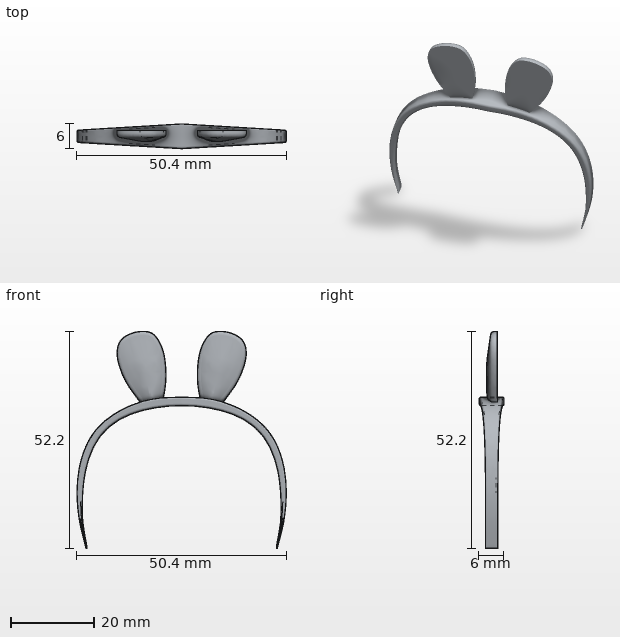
import cadquery as cq
import math

CROWN_HEIGHT = 36.4
CROWN_THICKNESS = 2.1
HALF_SPAN = 50.4 / 2
WIDEST_HEIGHT = 13.2
CROWN_WIDTH = 6.0
SIDE_WIDTH = 3.05
EDGE_ROUND = 0.495
STATIONS = 12

outer_points = [
    (0, CROWN_HEIGHT), (10.1, 35.15), (16.65, 32.0), (20.45, 28.65), (23.35, 23.85),
    (24.7, 19.05), (HALF_SPAN, WIDEST_HEIGHT), (24.6, 6.5), (23.0, 0),
]
inner_points = [
    (0, CROWN_HEIGHT - CROWN_THICKNESS), (7.55, 33.55), (14.2, 31.4), (18.6, 28.15), (21.35, 24),
    (23.0, 19.05), (23.8, 13.2), (23.8, 6.5), (22.75, 0),
]

EAR_BACK = 1.35
EAR_RIM_DEPTH = 1.65
EAR_DOME = 0.95
EAR_ROUND = 0.95
ear_outline = [
    (8.45, 33.15), (10.1, 35.3), (12.85, 39.1), (15.1, 44.1), (15.55, 47.05), (14.7, 49.9),
    (12.65, 51.5), (9.45, 52.2), (7.15, 51.75), (5.75, 50.3), (4.45, 47.4), (3.85, 44.1),
    (3.85, 39.4), (4.35, 36.5), (5.1, 33.15),
]
dome_ridge = [(7.2, 36, 0.7), (8.1, 39.15, 0.95), (9.0, 42.3, 1), (9.9, 45.95, 0.8)]


def crown_spline(points):
    """Band curve in the XZ plane, level at the crown."""
    path = [cq.Vector(x, 0, z) for x, z in points]
    lean = path[-1] - path[-2]
    return cq.Edge.makeSpline(path, tangents=[cq.Vector(1, 0, 0), lean.normalized()])


outer_curve = crown_spline(outer_points)
inner_curve = crown_spline(inner_points)


def band_section(fraction):
    """Rounded rectangle across the band at a fraction of its length."""
    outer = outer_curve.positionAt(fraction)
    inner = inner_curve.positionAt(fraction)
    across = inner - outer
    thickness = across.Length
    inward = across.normalized()
    taper = outer.x / HALF_SPAN if outer.z > WIDEST_HEIGHT else 1
    half_width = (CROWN_WIDTH - (CROWN_WIDTH - SIDE_WIDTH) * taper) / 2
    rounding = min(EDGE_ROUND, thickness / 3)
    flat = half_width - EDGE_ROUND
    bulge = math.sqrt(0.5)

    def at(y, depth):
        return outer + inward * depth + cq.Vector(0, y, 0)

    def corner(side, near, middle, far):
        y_middle = side * (flat + EDGE_ROUND * bulge)
        return cq.Edge.makeThreePointArc(near, at(y_middle, middle), far)

    shallow = rounding * (1 - bulge)
    corners = [at(-flat, 0), at(flat, 0), at(half_width, rounding), at(half_width, thickness - rounding),
               at(flat, thickness), at(-flat, thickness), at(-half_width, thickness - rounding),
               at(-half_width, rounding)]
    edges = [
        cq.Edge.makeLine(corners[0], corners[1]),
        corner(1, corners[1], shallow, corners[2]),
        cq.Edge.makeLine(corners[2], corners[3]),
        corner(1, corners[3], thickness - shallow, corners[4]),
        cq.Edge.makeLine(corners[4], corners[5]),
        corner(-1, corners[5], thickness - shallow, corners[6]),
        cq.Edge.makeLine(corners[6], corners[7]),
        corner(-1, corners[7], shallow, corners[0]),
    ]
    return cq.Wire.assembleEdges(edges)


def half_band():
    sections = [band_section(i / STATIONS) for i in range(STATIONS + 1)]
    return cq.Workplane(cq.Solid.makeLoft(sections))


def ear():
    """Flat-backed ear with a rounded rim and a domed front."""
    body = (
        cq.Workplane("XZ", origin=(0, EAR_BACK, 0))
        .moveTo(*ear_outline[0])
        .spline(ear_outline[1:], includeCurrent=True)
        .close()
        .extrude(EAR_RIM_DEPTH)
    )
    body = body.faces("<Y").edges("not #Z").fillet(EAR_ROUND)
    front = body.faces("<Y").val()
    front_y = EAR_BACK - EAR_RIM_DEPTH
    ridge = [cq.Vector(x, front_y - EAR_DOME * share, z) for x, z, share in dome_ridge]
    dome = cq.Face.makeNSidedSurface(front.outerWire().Edges(), ridge)
    sides = [face for face in body.faces().vals() if not face.isSame(front)]
    shell = cq.Shell.makeShell(sides + [dome])
    return cq.Workplane(cq.Solid.makeSolid(shell).fix())


def space_under_crown():
    """Block below about the mid thickness of the band, to trim the foot of the ear."""
    depth = CROWN_THICKNESS / 2
    top = [(x, z + depth) for x, z in inner_points[:3]]
    return (
        cq.Workplane("XZ")
        .moveTo(*top[0])
        .spline(top[1:], includeCurrent=True)
        .lineTo(top[-1][0], 0)
        .lineTo(0, 0)
        .close()
        .extrude(CROWN_WIDTH, both=True)
    )


half = half_band().union(ear().cut(space_under_crown()))
result = half.union(half.mirror("YZ"))